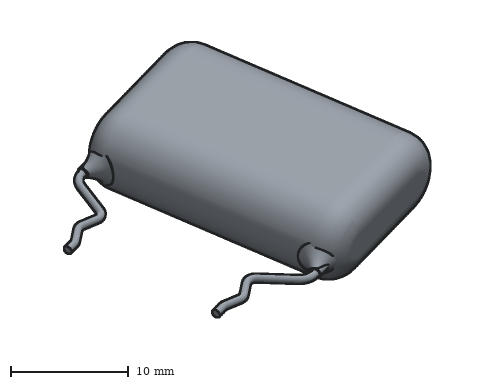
import cadquery as cq
import math

case_width = 26.0
case_length = 17.0
case_thickness = 7.8
end_radius = 2.6

lead_exit_x = 11.8
collar_radius = 0.48
collar_length = 1.0
collar_root_y = case_thickness / 2
collar_end_y = -collar_length
flare_tilt = 24.0
flare_tip_radius = 0.46
flare_tip_angle = math.radians(17)
flare_root_radius = 1.85
flare_length = 1.87
flare_root_depth = 0.4

wire_radius = 0.4
lead_pitch = 15.0
spread_angle = math.radians(60)
spread_bend_radius = 1.6
bend_radius = 0.8
kink_angle = math.radians(25)
kink_start_y = -5.0
kink_end_y = -9.0
tip_y = -10.0

SIDES = (-1, 1)


def rod_along_y(x, radius, y_start, y_end):
    """Round rod parallel to Y at the given X, running from y_start down to y_end."""
    return cq.Workplane("XZ", origin=(x, y_start, 0)).circle(radius).extrude(y_start - y_end)


def make_pillow():
    """Case without collars: full-round long sides and filleted ends."""
    return (
        cq.Workplane("YZ", origin=(-case_width / 2, case_length / 2, 0))
        .slot2D(case_length, case_thickness)
        .extrude(case_width)
        .faces("<X or >X")
        .edges()
        .fillet(end_radius)
    )


def make_flare(side):
    """Trumpet whose concave arc widens from the tip into the case."""
    widening = flare_root_radius - flare_tip_radius
    chord_angle = math.atan2(widening, flare_length)
    bulge = math.hypot(widening, flare_length) / 2 * math.tan((chord_angle - flare_tip_angle) / 2)
    arc_middle = (
        (flare_tip_radius + flare_root_radius) / 2 - bulge * math.cos(chord_angle),
        flare_length / 2 + bulge * math.sin(chord_angle),
    )
    root_y = flare_length + flare_root_depth
    return (
        cq.Workplane("XY")
        .lineTo(flare_tip_radius, 0)
        .threePointArc(arc_middle, (flare_root_radius, flare_length))
        .lineTo(flare_root_radius, root_y)
        .lineTo(0, root_y)
        .close()
        .revolve(360, (0, 0), (0, 1))
        .rotate((0, 0, 0), (0, 0, 1), side * flare_tilt)
        .translate((side * lead_exit_x, collar_end_y, 0))
    )


def make_case():
    """Case with a flare and a collar at each lead exit, both cut off square at the collar end."""
    case = make_pillow()
    for side in SIDES:
        exit_x = side * lead_exit_x
        beyond_collar = rod_along_y(exit_x, flare_root_radius, collar_end_y, collar_end_y - flare_length)
        flare = make_flare(side).cut(beyond_collar)
        collar = rod_along_y(exit_x, collar_radius, collar_root_y, collar_end_y)
        case = case.union(flare).union(collar)
    return case


def lead_path(side):
    """Centreline of a lead. Headings are angles from -Y, positive towards X = 0."""
    turn_sum = spread_bend_radius + bend_radius
    spread_run = lead_exit_x - lead_pitch / 2
    slant_length = (spread_run - turn_sum * (1 - math.cos(spread_angle))) / math.sin(spread_angle)
    spread_drop = turn_sum * math.sin(spread_angle) + slant_length * math.cos(spread_angle)
    kink_half_drop = (kink_start_y - kink_end_y) / 2
    leg_length = (kink_half_drop - 2 * bend_radius * math.sin(kink_angle)) / math.cos(kink_angle)

    path = cq.Workplane("XY").moveTo(side * lead_exit_x, collar_end_y)
    x, y = lead_exit_x, kink_start_y + spread_drop
    path = path.lineTo(side * x, y)

    steps = (
        (spread_bend_radius, spread_angle, slant_length),
        (bend_radius, 0.0, 0.0),
        (bend_radius, -kink_angle, leg_length),
        (bend_radius, kink_angle, leg_length),
        (bend_radius, 0.0, kink_end_y - tip_y),
    )
    heading = 0.0
    for radius, new_heading, straight in steps:
        turn = math.copysign(radius, new_heading - heading)
        arc_points = []
        for angle in ((heading + new_heading) / 2, new_heading):
            arc_x = x - turn * (math.cos(heading) - math.cos(angle))
            arc_y = y - turn * (math.sin(angle) - math.sin(heading))
            arc_points.append((side * arc_x, arc_y))
        path = path.threePointArc(*arc_points)
        x, y = arc_x, arc_y
        heading = new_heading
        if straight > 0:
            x -= straight * math.sin(heading)
            y -= straight * math.cos(heading)
            path = path.lineTo(side * x, y)
    return path


def make_lead(side):
    """Round wire that bends inwards to the lead pitch, kinks outwards and ends in a straight tip."""
    profile = cq.Workplane("XZ", origin=(side * lead_exit_x, collar_end_y, 0)).circle(wire_radius)
    return profile.sweep(lead_path(side))


case = make_case()
leads = [make_lead(side) for side in SIDES]

result = cq.Compound.makeCompound([case.val(), *[lead.val() for lead in leads]])